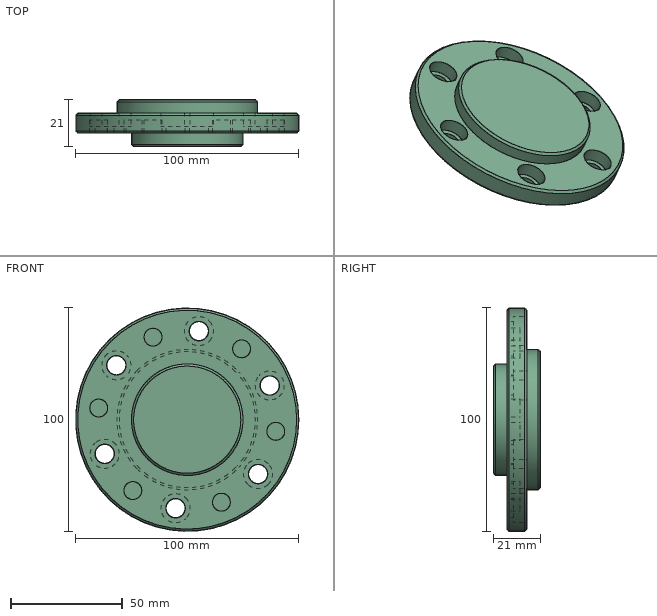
import cadquery as cq

flange_diameter = 100.0
flange_thickness = 9.0
edge_chamfer = 1.0

boss_height = 6.0
front_boss_diameter = 50.0
back_boss_diameter = 63.0

pitch_radius = 40.0
holes_per_kind = 6
hole_step = 360.0 / holes_per_kind
through_hole_diameter = 8.5
counterbore_diameter = 13.0
counterbore_depth = 6.0
blind_hole_diameter = 8.0
blind_hole_depth = 6.0
first_through_angle = 22.5
first_blind_angle = first_through_angle + hole_step / 2

total_length = flange_thickness + 2 * boss_height
back_y = total_length / 2
flange_back_y = back_y - boss_height
flange_front_y = flange_back_y - flange_thickness


def cylinder(diameter, start_y, length):
    """Cylinder on the Y axis running from start_y towards -Y."""
    return cq.Workplane("XZ", origin=(0, start_y, 0)).circle(diameter / 2).extrude(length)


def hole_ring(diameter, first_angle, start_y, depth):
    """Ring of hole-shaped cutters running from start_y towards -Y."""
    return (
        cq.Workplane("XZ", origin=(0, start_y, 0))
        .polarArray(pitch_radius, first_angle, 360, holes_per_kind)
        .circle(diameter / 2)
        .extrude(depth)
    )


flange = cylinder(flange_diameter, flange_back_y, flange_thickness).edges().chamfer(edge_chamfer)
front_boss = cylinder(front_boss_diameter, flange_front_y, boss_height).faces("<Y").chamfer(edge_chamfer)
back_boss = cylinder(back_boss_diameter, back_y, boss_height).faces(">Y").chamfer(edge_chamfer)

through_holes = hole_ring(through_hole_diameter, first_through_angle, flange_back_y, flange_thickness)
counterbores = hole_ring(counterbore_diameter, first_through_angle, flange_back_y, counterbore_depth)
blind_bottom_y = flange_front_y + blind_hole_depth
blind_holes = hole_ring(blind_hole_diameter, first_blind_angle, blind_bottom_y, blind_hole_depth)

body = flange.union(front_boss).union(back_boss)
result = body.cut(through_holes).cut(counterbores).cut(blind_holes)